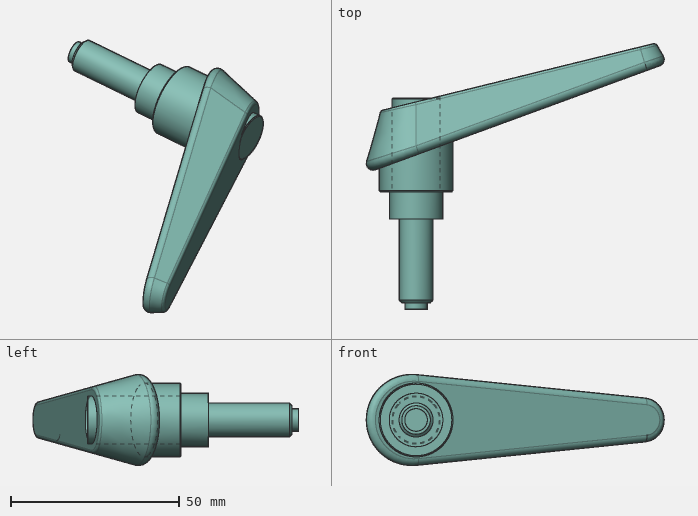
import cadquery as cq
import math


SIDE_SLOPE = 0.28
BASE_RADIUS = 17.3
RIDGE_Y = BASE_RADIUS / SIDE_SLOPE
LOWER_Y = 11.0
UPPER_Y = 26.7
LOWER_ANGLE = 20.1
UPPER_ANGLE = 13.8
TIP_LEAN = 15.5
TIP_APEX_X = 60.9
LOWER_FILLET = 2.0
UPPER_FILLET = 1.1
PAST_HUB = -26.6
PAST_TIP = 97.4

HUB_RADIUS = 11.0
HUB_CHAMFER = 0.35
HUB_TOP = 17.7

PLUG_RADIUS = 7.2
PLUG_TOP = 27.9
PLUG_CHAMFER = 0.3
COLLAR_RADIUS = 8.0
COLLAR_END = -8.1
STUD_RADIUS = 5.05
STUD_END = -32.9
STUD_CHAMFER = 0.8
STUD_TIP_RADIUS = 3.4
STUD_TIP_END = -34.9


def plane_height(x, height_on_axis, angle):
    return height_on_axis + x * math.tan(math.radians(angle))


def plane_normal(angle):
    return cq.Vector(-math.sin(math.radians(angle)), math.cos(math.radians(angle)), 0)


def cylinder(radius, start_y, end_y):
    """Cylinder on the screw axis."""
    return cq.Workplane("XZ", origin=(0, start_y, 0)).circle(radius).extrude(start_y - end_y)


def cone(apex_x, half_angle, lean):
    """Cone with its apex on the ridge, leaning towards the hub."""
    axis = cq.Vector(math.sin(lean), -math.cos(lean), 0)
    length = RIDGE_Y / math.cos(lean)
    return cq.Workplane(cq.Solid.makeCone(
        0, length * math.tan(half_angle), length, cq.Vector(apex_x, RIDGE_Y, 0), axis))


def make_arm():
    side_angle = math.atan(SIDE_SLOPE)
    lean = math.radians(TIP_LEAN)
    tip_half_angle = math.asin(math.sin(side_angle) * math.cos(lean))
    contact_slope = math.tan(lean) / math.cos(side_angle) ** 2

    side_walls = (
        cq.Workplane("YZ")
        .polyline([(0, -BASE_RADIUS), (RIDGE_Y, 0), (0, BASE_RADIUS)]).close()
        .extrude(PAST_TIP)
    )
    between_cones = (
        cq.Workplane("XY")
        .polyline([(0, 0), (TIP_APEX_X + RIDGE_Y * contact_slope, 0), (TIP_APEX_X, RIDGE_Y), (0, RIDGE_Y)])
        .close().extrude(BASE_RADIUS, both=True)
    )
    sloping_band = (
        cq.Workplane("XY")
        .polyline([
            (PAST_HUB, plane_height(PAST_HUB, LOWER_Y, LOWER_ANGLE)),
            (PAST_TIP, plane_height(PAST_TIP, LOWER_Y, LOWER_ANGLE)),
            (PAST_TIP, plane_height(PAST_TIP, UPPER_Y, UPPER_ANGLE)),
            (PAST_HUB, plane_height(PAST_HUB, UPPER_Y, UPPER_ANGLE)),
        ]).close().extrude(BASE_RADIUS, both=True)
    )
    arm = (
        side_walls.intersect(between_cones).intersect(sloping_band)
        .union(cone(0, side_angle, 0).intersect(sloping_band).cut(between_cones))
        .union(cone(TIP_APEX_X, tip_half_angle, lean).intersect(sloping_band).cut(between_cones))
    )
    lower_face = cq.selectors.DirectionMinMaxSelector(plane_normal(LOWER_ANGLE), directionMax=False)
    upper_face = cq.selectors.DirectionMinMaxSelector(plane_normal(UPPER_ANGLE))
    arm = arm.faces(lower_face).edges().fillet(LOWER_FILLET)
    return arm.faces(upper_face).edges().fillet(UPPER_FILLET)


def make_handle():
    hub = cylinder(HUB_RADIUS, 0, HUB_TOP).faces("<Y").chamfer(HUB_CHAMFER)
    bore = cylinder(PLUG_RADIUS, 0, RIDGE_Y)
    return make_arm().union(hub).cut(bore)


def make_insert():
    plug = cylinder(PLUG_RADIUS, 0, PLUG_TOP).faces(">Y").chamfer(PLUG_CHAMFER)
    collar = cylinder(COLLAR_RADIUS, COLLAR_END, 0)
    stud = cylinder(STUD_RADIUS, STUD_END, COLLAR_END).faces("<Y").chamfer(STUD_CHAMFER)
    stud_tip = cylinder(STUD_TIP_RADIUS, STUD_TIP_END, STUD_END)
    return plug.union(collar).union(stud).union(stud_tip)


handle = make_handle()
insert = make_insert()
result = cq.Compound.makeCompound([handle.val(), insert.val()])